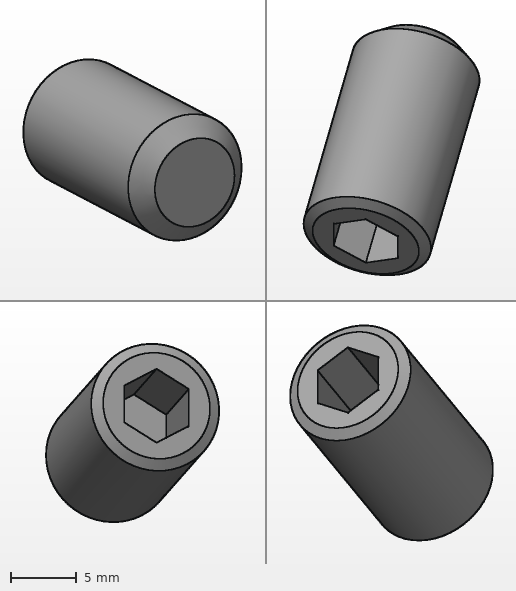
import cadquery as cq
import math

length = 18.0
diameter = 10.0
socket_end_diameter = 8.35
socket_chamfer_angle = 30.0
point_diameter = 7.02
socket_across_flats = 5.04
socket_depth = 8.0

radius = diameter / 2
socket_end_radius = socket_end_diameter / 2
point_radius = point_diameter / 2
socket_chamfer_length = (radius - socket_end_radius) * math.tan(math.radians(socket_chamfer_angle))
point_chamfer_length = radius - point_radius


def make_body():
    """Revolve the half profile, with both end chamfers, about the X axis."""
    return (
        cq.Workplane("XY")
        .moveTo(0, 0)
        .lineTo(0, socket_end_radius)
        .lineTo(socket_chamfer_length, radius)
        .lineTo(length - point_chamfer_length, radius)
        .lineTo(length, point_radius)
        .lineTo(length, 0)
        .close()
        .revolve(360, (0, 0, 0), (1, 0, 0))
    )


def make_socket():
    """Hexagonal prism with two corners on the vertical centre plane."""
    across_corners = socket_across_flats / math.cos(math.radians(30))
    socket_plane = cq.Plane(origin=(0, 0, 0), xDir=(0, 0, 1), normal=(1, 0, 0))
    return cq.Workplane(socket_plane).polygon(6, across_corners).extrude(socket_depth)


result = make_body().cut(make_socket())